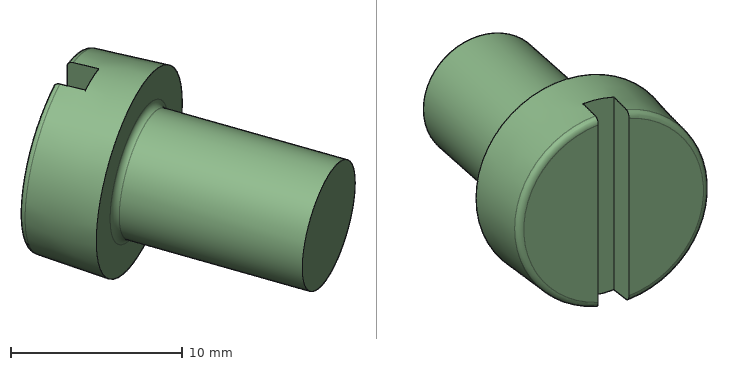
import cadquery as cq
import math

total_length = 17.0
head_diameter = 13.0
head_height = 5.0
head_taper = 3.0
head_edge_radius = 0.4
shank_diameter = 8.0
neck_fillet = 0.4
slot_width = 2.0
slot_depth = 2.0

head_radius = head_diameter / 2
shank_radius = shank_diameter / 2
face_radius = head_radius - head_height * math.tan(math.radians(head_taper))


def make_head():
    """Tapered cheese head with a rounded rim on the slotted face."""
    profile = (
        cq.Workplane("XY")
        .lineTo(0, face_radius)
        .lineTo(head_height, head_radius)
        .lineTo(head_height, 0)
        .close()
    )
    head = profile.revolve(360, (0, 0, 0), (1, 0, 0))
    return head.faces("<X").edges().fillet(head_edge_radius)


def make_shank():
    """Plain shank with a concave fillet where it meets the head."""
    fillet_end = head_height + neck_fillet
    diagonal = neck_fillet * (1 - math.sqrt(0.5))
    profile = (
        cq.Workplane("XY")
        .moveTo(head_height, 0)
        .lineTo(head_height, shank_radius + neck_fillet)
        .threePointArc((head_height + diagonal, shank_radius + diagonal), (fillet_end, shank_radius))
        .lineTo(total_length, shank_radius)
        .lineTo(total_length, 0)
        .close()
    )
    return profile.revolve(360, (0, 0, 0), (1, 0, 0))


def make_slot():
    """Driver slot across the full head, running along Z."""
    return cq.Workplane("XY").box(
        slot_depth, slot_width, head_diameter, centered=(False, True, True)
    )


result = make_head().union(make_shank()).cut(make_slot())